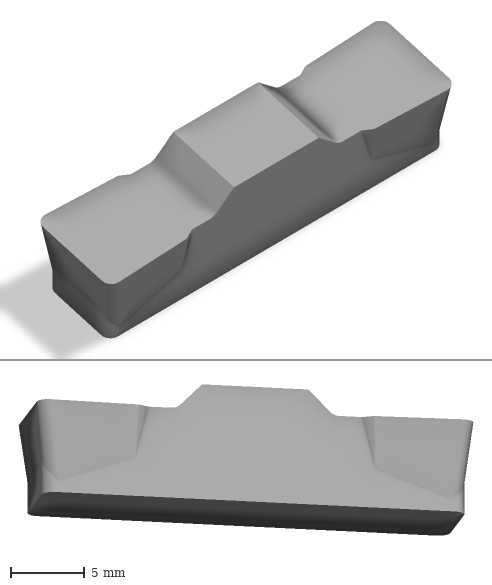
import cadquery as cq
import math

length = 30.25
height = 8.08
body_width = 6.63
head_width = 8.05

rake_height = 6.32
clearance_angle = 7.0
clearance_height = 2.4
corner_radius = 0.82
shoulder_y = 8.17
shoulder_width = 7.5
shoulder_radius = 0.2
neck_y = 7.38
root_half_width = 1.82

ridge_length = 7.38
ridge_angle = 45.0
foot_radius = 0.9

end_clearance = (rake_height - clearance_height) * math.tan(math.radians(clearance_angle))
body_length = length - 2 * end_clearance
ridge_run = (height - rake_height) / math.tan(math.radians(ridge_angle))

side_length = length / 2 - corner_radius - shoulder_y
side_slope = (head_width - shoulder_width) / 2 / side_length
sharp_half_width = head_width / 2 + corner_radius * side_slope


def make_body():
    """Straight-sided bar with a raised middle."""
    half_length = body_length / 2
    half_ridge = ridge_length / 2
    half_foot = half_ridge + ridge_run
    profile = [
        (-half_length, 0),
        (half_length, 0),
        (half_length, rake_height),
        (half_foot, rake_height),
        (half_ridge, height),
        (-half_ridge, height),
        (-half_foot, rake_height),
        (-half_length, rake_height),
    ]
    bar = cq.Workplane("YZ").polyline(profile).close().extrude(body_width / 2, both=True)
    bar = bar.edges("|Z").fillet(corner_radius)
    for side in (-1, 1):
        foot = cq.selectors.NearestToPointSelector((0, side * half_foot, rake_height))
        bar = bar.edges(foot).fillet(foot_radius)
    return bar


def make_head():
    """Head at the +Y end, drafted inward below its top until it sinks into the body."""
    half_shoulder = shoulder_width / 2
    half_body = body_width / 2
    shoulder_slope = (shoulder_y - neck_y) / (half_shoulder - half_body)
    root_y = neck_y - (half_body - root_half_width) * shoulder_slope
    right_side = [
        (root_half_width, root_y),
        (half_shoulder, shoulder_y),
        (sharp_half_width, length / 2),
    ]
    left_side = [(-x, y) for x, y in reversed(right_side)]
    head = (
        cq.Workplane("XY", origin=(0, 0, rake_height))
        .polyline(right_side + left_side)
        .close()
        .extrude(-rake_height, taper=clearance_angle)
    )
    mid_height = rake_height / 2
    inset = mid_height * math.tan(math.radians(clearance_angle))
    for (x, y), radius in ((right_side[2], corner_radius), (right_side[1], shoulder_radius)):
        for side in (-1, 1):
            edge_middle = (side * (x - inset), y - inset, mid_height)
            nearest = cq.selectors.NearestToPointSelector(edge_middle)
            head = head.edges(nearest).fillet(radius)
    return head


head = make_head()
result = make_body().union(head).union(head.mirror("XZ"))